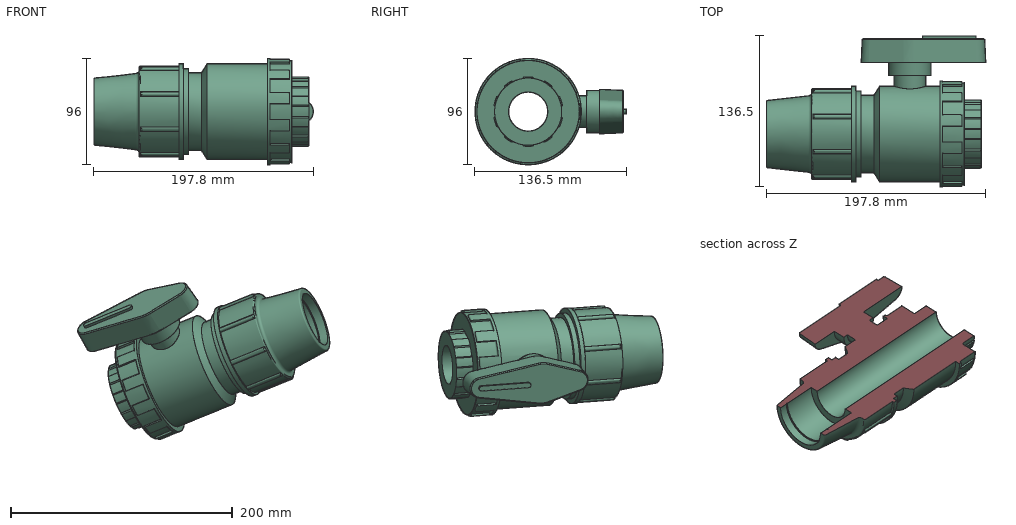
import cadquery as cq
import math


bore_diameter = 35.0
socket_diameter = 50.0
socket_depth = 39.5
socket_groove_start = 8.1
socket_groove_width = 0.8
socket_groove_diameter = 51.5

nose_tip_radius = 30.5
nose_base_diameter = 69.0
nose_round = 1.4
nose_length = 37.8
barrel_diameter = 82.0
barrel_start = 40.8
barrel_round = 1.2
barrel_end = 76.5
flange_diameter = 86.5
flange_end = 80.7

rib_count = 8
rib_first_angle = 22.5
rib_width = 4.4
rib_top_radius = 43.0
rib_round = 1.5

collar_diameter = 77.7
collar_end = 85.5
neck_diameter = 70.2
neck_end = 97.0
shoulder_end = 102.0
body_diameter = 86.5

ring_start = 156.3
ring_end = 178.6
ring_diameter = 96.0
pocket_floor_diameter = 92.2
pocket_start = 158.8
pocket_fillet = 1.2
lug_end = 176.5
lug_round = 1.4
rim_diameter = 92.5
rim_start = 178.0
lug_count = 12
lug_angle = 12.6

hub_end = 193.9
hub_diameter = 62.7
hub_groove_floor_diameter = 60.5
hub_round = 1.4
hub_lug_count = 10
hub_lug_angle = 14.6
hub_lug_flare = 2.1

stem_x = 129.4
stem_diameter = 28.9
stem_collar_diameter = 38.4
stem_collar_start = 52.6
lever_start = 64.5
lever_end = 86.0
lever_left = 85.3
lever_right = 197.8
lever_tip_radius = 10.5
lever_middle_radius = 20.2
lever_taper = 2.5
lever_top_chamfer = 1.0

pointer_left = 140.7
pointer_length = 48.5
pointer_width = 4.5
pointer_end = 88.5

overlap = 1.0
stem_overlap = 4.0

quarter_arc_inset = 1 - math.sqrt(0.5)

body_radius = body_diameter / 2
barrel_radius = barrel_diameter / 2
ring_radius = ring_diameter / 2
pocket_floor_radius = pocket_floor_diameter / 2
rim_radius = rim_diameter / 2
hub_radius = hub_diameter / 2
hub_groove_floor_radius = hub_groove_floor_diameter / 2


def cylinder_x(radius, start, end):
    """Solid cylinder on the pipe axis."""
    return cq.Workplane("YZ", origin=(start, 0, 0)).circle(radius).extrude(end - start)


def polar(radius, angle):
    """Y and Z of a point around the pipe axis, with the angle measured from +Y toward +Z."""
    turn = math.radians(angle)
    return radius * math.cos(turn), radius * math.sin(turn)


def lug_outline(middle, half, flare, inner_radius, outer_radius):
    """Outline of one lug across the axis, its half angle growing by the flare at the inner radius."""
    reach = 2 * outer_radius
    return [
        (0, 0),
        polar(inner_radius, middle - half - flare),
        polar(outer_radius, middle - half),
        polar(reach, middle - half),
        polar(reach, middle + half),
        polar(outer_radius, middle + half),
        polar(inner_radius, middle + half + flare),
    ]


def lugs_around(count, angle, flare, inner_radius, outer_radius, start, end, rounding):
    """Evenly spaced lugs whose outer edge is rounded at the right end."""
    inset = rounding * quarter_arc_inset
    core_radius = inner_radius - overlap
    band = (
        cq.Workplane("XY")
        .moveTo(start, core_radius)
        .lineTo(start, outer_radius)
        .lineTo(end - rounding, outer_radius)
        .threePointArc((end - inset, outer_radius - inset), (end, outer_radius - rounding))
        .lineTo(end, core_radius)
        .close()
        .revolve(360, (0, 0, 0), (1, 0, 0))
    )
    pitch = 360 / count
    sectors = cq.Workplane("YZ", origin=(start, 0, 0))
    for i in range(count):
        outline = lug_outline((i + 0.5) * pitch, angle / 2, flare, inner_radius, outer_radius)
        sectors = sectors.polyline(outline).close()
    return band.intersect(sectors.extrude(end - start))


def make_turned_body():
    """Nut, valve body, ring core and hub core turned about the pipe axis."""
    nose_base_radius = nose_base_diameter / 2
    flange_radius = flange_diameter / 2
    collar_radius = collar_diameter / 2
    neck_radius = neck_diameter / 2
    root_fillet = barrel_start - nose_length
    nose_inset = nose_round * quarter_arc_inset
    root_inset = root_fillet * quarter_arc_inset
    barrel_inset = barrel_round * quarter_arc_inset
    pocket_inset = pocket_fillet * quarter_arc_inset
    profile = (
        cq.Workplane("XY")
        .lineTo(0, nose_tip_radius - nose_round)
        .threePointArc((nose_inset, nose_tip_radius - nose_inset), (nose_round, nose_tip_radius))
        .lineTo(nose_length, nose_base_radius)
        .threePointArc(
            (barrel_start - root_inset, nose_base_radius + root_inset),
            (barrel_start, nose_base_radius + root_fillet),
        )
        .lineTo(barrel_start, barrel_radius - barrel_round)
        .threePointArc(
            (barrel_start + barrel_inset, barrel_radius - barrel_inset),
            (barrel_start + barrel_round, barrel_radius),
        )
        .lineTo(barrel_end, barrel_radius)
        .lineTo(barrel_end, flange_radius)
        .lineTo(flange_end, flange_radius)
        .lineTo(flange_end, collar_radius)
        .lineTo(collar_end, collar_radius)
        .lineTo(collar_end, neck_radius)
        .lineTo(neck_end, neck_radius)
        .lineTo(shoulder_end, body_radius)
        .lineTo(ring_start, body_radius)
        .lineTo(ring_start, ring_radius)
        .lineTo(pocket_start, ring_radius)
        .lineTo(pocket_start, pocket_floor_radius + pocket_fillet)
        .threePointArc(
            (pocket_start + pocket_inset, pocket_floor_radius + pocket_inset),
            (pocket_start + pocket_fillet, pocket_floor_radius),
        )
        .lineTo(rim_start, pocket_floor_radius)
        .lineTo(rim_start, rim_radius)
        .lineTo(ring_end, rim_radius)
        .lineTo(ring_end, hub_groove_floor_radius)
        .lineTo(hub_end, hub_groove_floor_radius)
        .lineTo(hub_end, 0)
        .close()
    )
    return profile.revolve(360, (0, 0, 0), (1, 0, 0))


def make_barrel_ribs():
    """Bars along the nut barrel, rounded on the long outer edges and at the nose end."""
    rib_start = barrel_start + barrel_round
    rib_root = barrel_radius - overlap
    rib = (
        cq.Workplane("XY")
        .box(barrel_end - rib_start, rib_top_radius - rib_root, rib_width, centered=(False, False, True))
        .translate((rib_start, rib_root, 0))
        .edges("(|X and >Y) or (|Z and >Y and <X)")
        .fillet(rib_round)
    )
    ribs = cq.Workplane("XY")
    for i in range(rib_count):
        ribs = ribs.add(rib.rotate((0, 0, 0), (1, 0, 0), rib_first_angle + i * 360 / rib_count))
    return ribs.combine()


def plane_across_y(y):
    """Workplane facing +Y, centred on the stem, with local X along +X."""
    return cq.Workplane(cq.Plane(origin=(stem_x, y, 0), xDir=(1, 0, 0), normal=(0, 1, 0)))


def make_lever():
    """Lever outlined by a large middle circle and two tip circles joined by tangent lines."""
    left_reach = stem_x - lever_left - lever_tip_radius
    right_reach = lever_right - stem_x - lever_tip_radius
    step = lever_middle_radius - lever_tip_radius
    left_lean = math.asin(step / left_reach)
    right_lean = math.asin(step / right_reach)

    def left_point(radius, centre, side):
        return centre - radius * math.sin(left_lean), side * radius * math.cos(left_lean)

    def right_point(radius, centre, side):
        return centre + radius * math.sin(right_lean), side * radius * math.cos(right_lean)

    outline = (
        plane_across_y(lever_start)
        .moveTo(*left_point(lever_tip_radius, -left_reach, 1))
        .lineTo(*left_point(lever_middle_radius, 0, 1))
        .threePointArc((0, lever_middle_radius), right_point(lever_middle_radius, 0, 1))
        .lineTo(*right_point(lever_tip_radius, right_reach, 1))
        .threePointArc(
            (right_reach + lever_tip_radius, 0),
            right_point(lever_tip_radius, right_reach, -1),
        )
        .lineTo(*right_point(lever_middle_radius, 0, -1))
        .threePointArc((0, -lever_middle_radius), left_point(lever_middle_radius, 0, -1))
        .lineTo(*left_point(lever_tip_radius, -left_reach, -1))
        .threePointArc(
            (-left_reach - lever_tip_radius, 0),
            left_point(lever_tip_radius, -left_reach, 1),
        )
        .close()
    )
    lever = outline.extrude(lever_end - lever_start, taper=lever_taper)
    return lever.faces(">Y").chamfer(lever_top_chamfer)


def make_handle():
    """Stem, stem collar, lever and pointer bar."""
    stem_root = body_radius - stem_overlap
    stem = plane_across_y(stem_root).circle(stem_diameter / 2).extrude(stem_collar_start - stem_root)
    stem_collar = (
        plane_across_y(stem_collar_start)
        .circle(stem_collar_diameter / 2)
        .extrude(lever_start - stem_collar_start)
    )
    pointer_middle = pointer_left + pointer_length / 2 - stem_x
    pointer = (
        plane_across_y(lever_end)
        .center(pointer_middle, 0)
        .slot2D(pointer_length, pointer_width)
        .extrude(pointer_end - lever_end)
    )
    return stem.union(stem_collar).union(make_lever()).union(pointer)


ring_lugs = lugs_around(
    lug_count, lug_angle, 0, pocket_floor_radius, ring_radius, ring_start, lug_end, lug_round
)
hub_lugs = lugs_around(
    hub_lug_count,
    hub_lug_angle,
    hub_lug_flare,
    hub_groove_floor_radius,
    hub_radius,
    ring_end,
    hub_end,
    hub_round,
)

socket_groove = cylinder_x(
    socket_groove_diameter / 2, socket_groove_start, socket_groove_start + socket_groove_width
)

result = (
    make_turned_body()
    .union(make_barrel_ribs())
    .union(ring_lugs)
    .union(hub_lugs)
    .union(make_handle())
    .cut(cylinder_x(bore_diameter / 2, 0, hub_end))
    .cut(cylinder_x(socket_diameter / 2, 0, socket_depth))
    .cut(socket_groove)
)